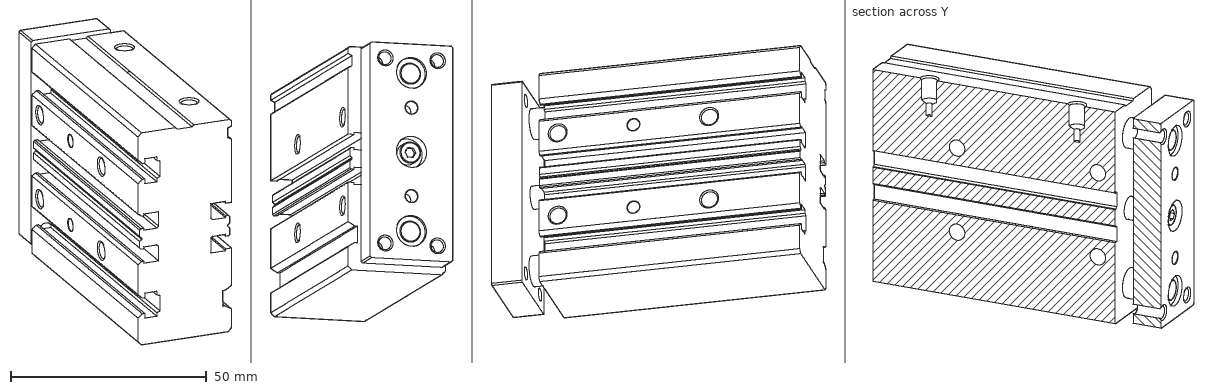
import cadquery as cq
import math


total_length = 82.0
housing_width = 26.0
housing_height = 58.0
plate_thickness = 8.0
rod_gap = 5.0
plate_width = 22.05
plate_height = 56.0
plate_bevel = 0.4
housing_start = plate_thickness + rod_gap
housing_length = total_length - housing_start
half_width = housing_width / 2
half_height = housing_height / 2
guide_spacing = 41.0

corner_bevel = 1.0
port_corner_bevel = 0.5
top_groove_half_width = 2.55
top_groove_depth = 0.5

t_slot_z = 18.4
t_slot_opening = 4.3
t_slot_lip = 1.9
t_slot_bevel_depth = 1.2
t_slot_bevel_height = 1.0
t_slot_head = 6.8
t_slot_depth = 6.15
t_slot_step_depth = 0.9
t_slot_step_height = 1.0
t_slot_corner_slope = 0.3

rib_inset = 0.5
rib_half_height = 2.8
rib_bevel = 0.3
rib_groove_depth = 0.6
rib_groove_half_height = 0.65
rib_groove_floor_half_height = 0.2
sensor_slot_opening = 3.45
sensor_slot_undercut = 0.5
sensor_slot_lip = 1.6
sensor_slot_depth = 5.7
sensor_slot_corner = 0.5
sensor_slot_bevel_height = 0.65
sensor_slot_bevel_depth = 1.0
sensor_slot_top = rib_half_height + sensor_slot_opening

flared_slot_z = -19.7
flared_slot_width = 4.3
flared_slot_mouth = 6.4
flare_depth = 1.8
flared_slot_depth = 2.5
side_groove_z = 25.3
side_groove_mouth = 3.6
side_groove_floor = 2.6
side_groove_depth = 1.1

bevel_angle = 90.0
drill_point_angle = 118.0
cross_hole_z = 11.5
first_cross_hole_x = housing_start + 5.0
cross_hole_pitch = 40.0
cross_hole_diameter = 4.3
cross_hole_mouth = 5.0
dowel_diameter = 3.2
dowel_mouth = 3.45
dowel_depth = 6.0
plate_hole_y = 7.0
plate_hole_z = 24.0
plate_hole_diameter = 3.3
plate_hole_mouth = 4.1
port_y = 8.0
first_port_x = housing_start + 11.0
port_pitch = 42.0
port_diameter = 4.2
port_mouth = 5.1
port_depth = 6.0
port_passage_diameter = 1.55
port_passage_depth = 10.0

guide_diameter = 7.95
guide_tip_length = 0.25
head_bevel = 0.25
head_diameter = 5.5
head_recess = 0.9
guide_recess = head_recess + guide_tip_length
piston_bore_diameter = 8.0
piston_head_length = 3.0
piston_stem_diameter = 3.0
piston_rod_diameter = 6.0
hex_across_flats = 2.5
hex_depth = 1.2
piston_bore_depth = head_recess + piston_head_length


def drill(point, direction, diameter, mouth, depth, pointed=False):
    """Solid of a round hole with a bevelled mouth and, if wanted, a drill point at its bottom."""
    radius = diameter / 2
    mouth_radius = mouth / 2
    bevel_depth = (mouth_radius - radius) / math.tan(math.radians(bevel_angle / 2))
    outline = [(0, 0), (mouth_radius, 0), (radius, bevel_depth), (radius, depth)]
    if pointed:
        point_length = radius / math.tan(math.radians(drill_point_angle / 2))
        outline.append((0, depth + point_length))
    else:
        outline.append((0, depth))
    plane = cq.Plane(origin=point, xDir=perpendicular(direction), normal=direction)
    tool = cq.Workplane("XZ").polyline(outline).close().revolve(360, (0, 0, 0), (0, 1, 0))
    return cq.Workplane(tool.val().moved(cq.Location(plane)))


def perpendicular(direction):
    """An axis square to the given axis direction."""
    return (0, 1, 0) if direction[1] == 0 else (1, 0, 0)


def cylinder(start, length, diameter, z=0.0):
    """Round bar along X."""
    return cq.Workplane("YZ", origin=(start, 0, z)).circle(diameter / 2).extrude(length)


def side_channel(outline, side):
    """Full-length channel cutter; outline points are (depth below the side face, Z)."""
    points = [(side * (half_width - depth), z) for depth, z in outline]
    return cq.Workplane("YZ", origin=(housing_start, 0, 0)).polyline(points).close().extrude(housing_length)


def with_mirror(half, z=0.0):
    """Complete a half outline of (depth, height) points by its mirror image, centred at z."""
    upper = [(depth, z + height) for depth, height in half]
    lower = [(depth, z - height) for depth, height in reversed(half)]
    return upper + lower


def t_slot(z):
    mouth = t_slot_opening / 2
    head = t_slot_head / 2
    half = [
        (0, mouth + t_slot_bevel_height),
        (t_slot_bevel_depth, mouth),
        (t_slot_lip, mouth),
        (t_slot_lip, head),
        (t_slot_depth - t_slot_step_depth, head),
        (t_slot_depth - t_slot_step_depth, head - t_slot_step_height),
        (t_slot_depth, head - t_slot_step_height - t_slot_corner_slope),
    ]
    return side_channel(with_mirror(half, z), -1)


def sensor_channel(side):
    """Both sensor slots of one side, leaving the grooved rib between them."""
    rib_root = rib_half_height - sensor_slot_undercut
    head_top = sensor_slot_top + sensor_slot_undercut
    half = [
        (0, sensor_slot_top),
        (sensor_slot_lip, sensor_slot_top),
        (sensor_slot_lip, head_top),
        (sensor_slot_depth, head_top),
        (sensor_slot_depth, rib_root + sensor_slot_corner),
        (sensor_slot_depth - sensor_slot_corner, rib_root),
        (sensor_slot_lip, rib_root),
        (sensor_slot_lip, rib_half_height),
        (rib_inset + rib_bevel, rib_half_height),
        (rib_inset, rib_half_height - rib_bevel),
        (rib_inset, rib_groove_half_height),
        (rib_inset + rib_groove_depth, rib_groove_floor_half_height),
    ]
    return side_channel(with_mirror(half), side)


def sensor_slot_bevel(end):
    """Bevel along the outer edge of one -Y sensor slot; end is 1 for the upper slot, -1 for the lower."""
    wedge = [
        (0, end * sensor_slot_top),
        (0, end * (sensor_slot_top + sensor_slot_bevel_height)),
        (sensor_slot_bevel_depth, end * sensor_slot_top),
    ]
    return side_channel(wedge, -1)


def flared_slot():
    half = [
        (0, flared_slot_mouth / 2),
        (flare_depth, flared_slot_width / 2),
        (flared_slot_depth, flared_slot_width / 2),
    ]
    return side_channel(with_mirror(half, flared_slot_z), 1)


def side_groove():
    half = [(0, side_groove_mouth / 2), (side_groove_depth, side_groove_floor / 2)]
    return side_channel(with_mirror(half, side_groove_z), 1)


def top_groove():
    floor_half_width = top_groove_half_width - top_groove_depth
    floor_z = half_height - top_groove_depth
    points = [
        (-top_groove_half_width, half_height),
        (-floor_half_width, floor_z),
        (floor_half_width, floor_z),
        (top_groove_half_width, half_height),
    ]
    return cq.Workplane("YZ", origin=(housing_start, 0, 0)).polyline(points).close().extrude(housing_length)


def housing_block():
    block = cq.Workplane("XY").box(housing_length, housing_width, housing_height)
    block = block.edges("|X and <Y").chamfer(corner_bevel)
    block = block.edges("|X and >Y and <Z").chamfer(corner_bevel)
    block = block.edges("|X and >Y and >Z").chamfer(port_corner_bevel)
    return block.translate((housing_start + housing_length / 2, 0, 0))


def air_port(x):
    """Port in the top face with a narrow passage below it."""
    mouth_centre = (x, port_y, half_height)
    port = drill(mouth_centre, (0, 0, -1), port_diameter, port_mouth, port_depth, pointed=True)
    passage = cq.Workplane("XY", origin=mouth_centre).circle(port_passage_diameter / 2)
    passage = passage.extrude(-port_passage_depth)
    return port.union(passage)


def make_housing():
    body = housing_block().cut(top_groove())
    for z in (-t_slot_z, t_slot_z):
        body = body.cut(t_slot(z))
    for side in (-1, 1):
        body = body.cut(sensor_channel(side))
    for end in (-1, 1):
        body = body.cut(sensor_slot_bevel(end))
    body = body.cut(flared_slot()).cut(side_groove())

    for z in (-cross_hole_z, cross_hole_z):
        for x in (first_cross_hole_x, first_cross_hole_x + cross_hole_pitch):
            for side in (-1, 1):
                start = (x, side * half_width, z)
                inward = (0, -side, 0)
                body = body.cut(drill(start, inward, cross_hole_diameter, cross_hole_mouth, half_width))
        dowel_start = (first_cross_hole_x + cross_hole_pitch / 2, -half_width, z)
        body = body.cut(drill(dowel_start, (0, 1, 0), dowel_diameter, dowel_mouth, dowel_depth, pointed=True))

    for x in (first_port_x, first_port_x + port_pitch):
        body = body.cut(air_port(x))
    return body


def make_plate():
    plate = cq.Workplane("XY").box(plate_thickness, plate_width, plate_height)
    plate = plate.edges("|X").chamfer(plate_bevel).translate((plate_thickness / 2, 0, 0))
    for z in (-plate_hole_z, plate_hole_z):
        for y in (-plate_hole_y, plate_hole_y):
            hole = drill((0, y, z), (1, 0, 0), plate_hole_diameter, plate_hole_mouth, plate_thickness)
            plate = plate.cut(hole)
    for z in (-cross_hole_z, cross_hole_z):
        plate = plate.cut(drill((0, 0, z), (1, 0, 0), dowel_diameter, dowel_mouth, dowel_depth, pointed=True))
    for z in (-guide_spacing / 2, guide_spacing / 2):
        plate = plate.cut(cylinder(0, plate_thickness, guide_diameter, z))
    plate = plate.cut(cylinder(0, piston_bore_depth, piston_bore_diameter))
    return plate.cut(cylinder(0, plate_thickness, piston_stem_diameter))


def bevelled_head(length, z=0.0):
    """Round head at the front end of a rod, bevelled around its outer face."""
    return cylinder(head_recess, length, head_diameter, z).faces("<X").chamfer(head_bevel)


def make_guide_rod(z):
    shank = cylinder(guide_recess, housing_start - guide_recess, guide_diameter, z)
    tip = bevelled_head(2 * guide_tip_length, z)
    return shank.union(tip)


def make_piston_rod():
    """Rod behind the plate, held by a stem and a hex socket head sunk in the plate."""
    rod = cylinder(plate_thickness, rod_gap, piston_rod_diameter)
    rod = rod.union(cylinder(head_recess, plate_thickness - head_recess, piston_stem_diameter))
    rod = rod.union(bevelled_head(piston_head_length))
    hex_corners = hex_across_flats / math.cos(math.pi / 6)
    socket = cq.Workplane("YZ", origin=(head_recess, 0, 0)).polygon(6, hex_corners).extrude(hex_depth)
    return rod.cut(socket)


housing = make_housing()
plate = make_plate()
guide_rods = [make_guide_rod(z) for z in (-guide_spacing / 2, guide_spacing / 2)]
piston_rod = make_piston_rod()

result = cq.Compound.makeCompound(
    [housing.val(), plate.val(), *[rod.val() for rod in guide_rods], piston_rod.val()]
)